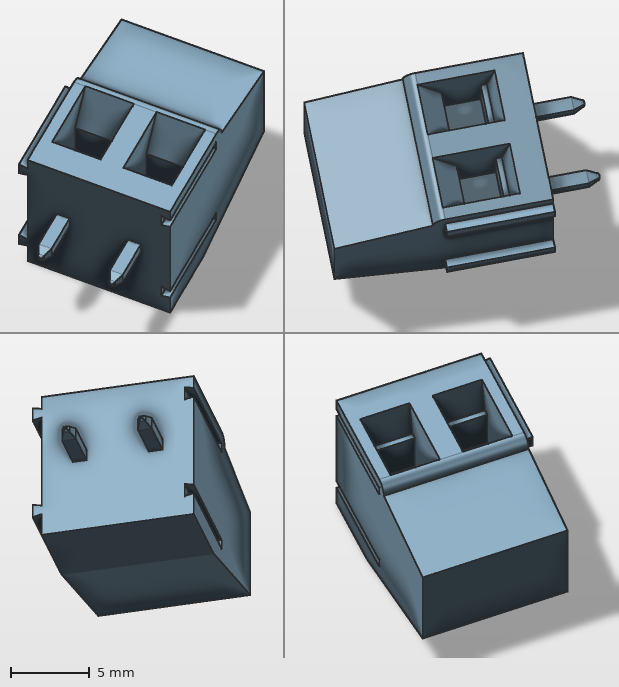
import cadquery as cq


overall_depth = 17.7
pole_count = 2
body_width = 10.0
pitch = body_width / pole_count
body_depth = 14.2
body_height = 10.3
shoulder_radius = 0.8
shoulder_start = 7.01
back_drop = 1.79
back_top = body_height - back_drop
back_bottom = 2.37
bottom_slope_start = 5.0

rail_length = shoulder_start
rail_projection = 0.6
rail_root_width = 0.65
rail_tip_width = 0.92
upper_rail_drop = 1.2
upper_rail_z = body_height - upper_rail_drop
rail_spacing = 7.22

pin_width = 0.9
pin_height = 0.78
pin_z = 5.5
pin_straight_length = 2.7
pin_total_length = overall_depth - body_depth
pin_tip_size = 0.4
pin_tip_radius = pin_tip_size / 2

pocket_width = 3.4
funnel_front = 2.0
funnel_back = shoulder_start
funnel_floor_front = 2.51
funnel_depth = 2.5
throat_front = 2.9
throat_back = 5.45
pocket_depth = 5.31

pole_positions = [(i - (pole_count - 1) / 2) * pitch for i in range(pole_count)]


def make_body():
    shoulder_end = shoulder_start + shoulder_radius
    shoulder_center_z = body_height - shoulder_radius
    return (
        cq.Workplane("YZ")
        .moveTo(0, 0)
        .lineTo(bottom_slope_start, 0)
        .lineTo(body_depth, back_bottom)
        .lineTo(body_depth, back_top)
        .lineTo(shoulder_end, shoulder_center_z)
        .radiusArc((shoulder_start, body_height), -shoulder_radius)
        .lineTo(0, body_height)
        .close()
        .extrude(body_width / 2, both=True)
    )


def make_dovetail(root_x, z):
    tip_x = root_x - rail_projection
    return (
        cq.Workplane("XZ")
        .polyline([
            (root_x, z - rail_root_width / 2),
            (root_x, z + rail_root_width / 2),
            (tip_x, z + rail_tip_width / 2),
            (tip_x, z - rail_tip_width / 2),
        ])
        .close()
        .extrude(-rail_length)
    )


def make_pocket(x):
    funnel_floor_z = body_height - funnel_depth
    throat_floor_z = body_height - pocket_depth
    return (
        cq.Workplane("YZ", origin=(x, 0, 0))
        .polyline([
            (funnel_front, body_height),
            (funnel_floor_front, funnel_floor_z),
            (throat_front, funnel_floor_z),
            (throat_front, throat_floor_z),
            (throat_back, throat_floor_z),
            (throat_back, funnel_floor_z),
            (funnel_back, body_height),
        ])
        .close()
        .extrude(pocket_width / 2, both=True)
    )


def make_pin(x):
    tip_base = pin_total_length - pin_tip_radius
    shank = (
        cq.Workplane("XZ", origin=(x, 0, pin_z))
        .rect(pin_width, pin_height)
        .extrude(pin_straight_length)
    )
    taper = (
        cq.Workplane("XZ", origin=(x, -pin_straight_length, pin_z))
        .rect(pin_width, pin_height)
        .workplane(offset=tip_base - pin_straight_length)
        .rect(pin_tip_size, pin_tip_size)
        .loft()
    )
    tip_center = (x, -tip_base, pin_z)
    cylinders = [
        cq.Workplane(plane, origin=tip_center)
        .circle(pin_tip_radius)
        .extrude(pin_tip_radius, both=True)
        for plane in ("XY", "YZ")
    ]
    return shank.union(taper).union(cylinders[0].intersect(cylinders[1]))


result = make_body()
for rail_z in (upper_rail_z, upper_rail_z - rail_spacing):
    result = result.cut(make_dovetail(body_width / 2, rail_z))
    result = result.union(make_dovetail(-body_width / 2, rail_z))
for pole_x in pole_positions:
    result = result.cut(make_pocket(pole_x))
    result = result.union(make_pin(pole_x))